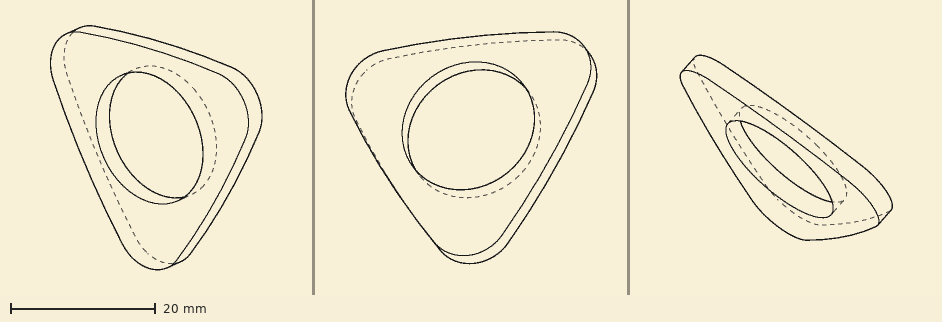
import cadquery as cq
import math

width = 35.25
thickness = 3.0
hole_radius = 9.5
corner_radius = 6.0
side_reach = 13.32

corner_offset = (width / 2 - corner_radius) / math.cos(math.radians(30))
half_spacing = corner_offset * math.cos(math.radians(30))
centre_height = corner_offset * math.sin(math.radians(30))

drop = side_reach - centre_height
side_radius = (half_spacing**2 + drop**2 - corner_radius**2) / (2 * (drop - corner_radius))

tangent_angle = math.asin(half_spacing / (side_radius - corner_radius))
tangent_x = side_radius * math.sin(tangent_angle)
tangent_height = side_reach - side_radius * (1 - math.cos(tangent_angle))


def turned(x, z, degrees):
    """Turn a profile point clockwise about the hole axis."""
    angle = math.radians(degrees)
    return (
        x * math.cos(angle) + z * math.sin(angle),
        z * math.cos(angle) - x * math.sin(angle),
    )


profile = cq.Workplane("XZ", origin=(0, thickness / 2, 0)).moveTo(-tangent_x, tangent_height)
for turn in (0, 120, 240):
    side_middle = turned(0, side_reach, turn)
    side_end = turned(tangent_x, tangent_height, turn)
    corner_tip = turned(0, corner_offset + corner_radius, turn + 60)
    next_side_start = turned(-tangent_x, tangent_height, turn + 120)
    profile = profile.threePointArc(side_middle, side_end)
    profile = profile.threePointArc(corner_tip, next_side_start)
plate = profile.close().extrude(thickness)

hole = cq.Workplane("XZ", origin=(0, thickness / 2, 0)).circle(hole_radius).extrude(thickness)

result = plate.cut(hole)